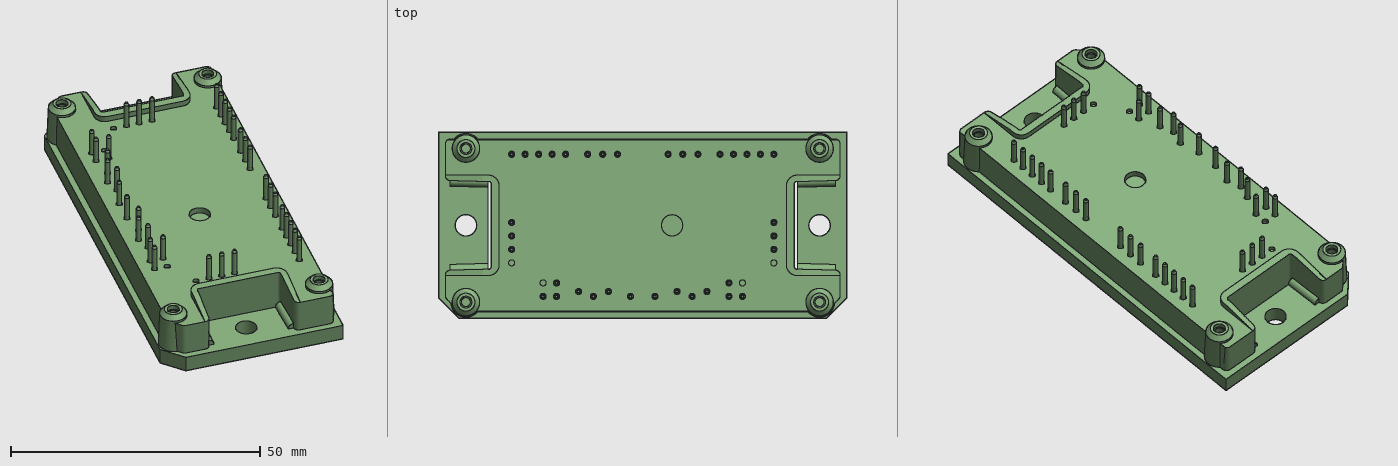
import cadquery as cq
import math


plate_length = 82.0
plate_width = 37.4
plate_height = 3.45
plate_corner_cut = 4.1
mounting_hole_diameter = 4.3
mounting_hole_x = 35.5

housing_length = 79.3
housing_bottom_width = 34.8
housing_top_width = 34.35
housing_top_z = 10.4
housing_corner_cut = 2.9
housing_corner_radius = 1.15
center_hole_diameter = 4.3
center_hole_depth = 1.3
center_hole_x = 5.9

recess_wall_x = 30.46
recess_back_width = 17.55
recess_mouth_width = 18.0
recess_corner_radius = 0.4
recess_mouth_radius = 1.0
recess_foot_radius = 1.15
slot_width = 0.6
rim_outer_width = 20.2
rim_back_width = 1.6
rim_corner_radius = 2.2
rim_top_z = 11.65
rim_slope_start_x = 32.1
rim_slope_blend_radius = 2.5

boss_x = mounting_hole_x
boss_y = 15.4
boss_bottom_radius = 3.0
boss_shoulder_radius = 2.75
boss_top_radius = 1.8
boss_shoulder_z = 10.9
boss_top_z = 11.9
boss_bore_diameter = 2.4
boss_bore_depth = 1.0
screw_hole_diameter = 1.8
screw_hole_depth = 4.9

pin_diameter = 1.0
pin_tip_diameter = 0.5
pin_tip_length = 0.5
pin_top_z = 16.2
socket_diameter = 1.2
socket_depth = 0.8
pin_pitch = 2.7

outer_x = 26.3
back_row_y = 14.3
front_row_y = -back_row_y
back_row_x = [outer_x - i * pin_pitch for i in range(5)] + [11.1, 8.0, 5.1]
side_column_top_y = 0.6
side_column_y = [side_column_top_y - i * pin_pitch for i in range(4)]
corner_group_x = 20.0
inner_row_y = front_row_y + pin_pitch
staggered_row_y = -13.3
front_row_x = [corner_group_x, corner_group_x - pin_pitch, 9.9, 2.5]
staggered_row_x = [12.9, 6.9]

pin_points = [(x, back_row_y) for x in back_row_x]
pin_points += [(outer_x, y) for y in side_column_y[:-1]]
pin_points += [(x, front_row_y) for x in front_row_x]
pin_points += [(x, staggered_row_y) for x in staggered_row_x]
pin_points += [(corner_group_x - pin_pitch, inner_row_y)]
empty_points = [(outer_x, side_column_y[-1]), (corner_group_x, inner_row_y)]


def both_sides(points):
    """Return the points together with their mirror images across the YZ plane."""
    return points + [(-x, y) for x, y in points]


def box_between(x_range, y_half, z_range):
    """Box spanning the given X and Z ranges, centred on Y."""
    return cq.Workplane("XY").box(
        x_range[1] - x_range[0], 2 * y_half, z_range[1] - z_range[0], centered=(False, True, False)
    ).translate((x_range[0], 0, z_range[0]))


def drill(body, points, diameter, depth, top_z):
    """Cut blind holes down from the given height."""
    holes = cq.Workplane("XY").workplane(offset=top_z).pushPoints(points).circle(diameter / 2).extrude(-depth)
    return body.cut(holes)


def clipped_outline(length, width, corner_cut):
    """Rectangle with the two -Y corners cut off at 45 degrees."""
    x = length / 2
    y = width / 2
    return cq.Workplane("XY").polyline([
        (-x, y), (-x, corner_cut - y), (corner_cut - x, -y),
        (x - corner_cut, -y), (x, corner_cut - y), (x, y),
    ]).close()


def make_plate():
    plate = clipped_outline(plate_length, plate_width, plate_corner_cut).extrude(plate_height)
    mounting_points = both_sides([(mounting_hole_x, 0)])
    return drill(plate, mounting_points, mounting_hole_diameter, plate_height, plate_height)


def make_housing():
    outline = clipped_outline(housing_length, housing_bottom_width, housing_corner_cut).extrude(housing_top_z)
    outline = outline.edges("|Z").fillet(housing_corner_radius)
    drafted = (
        cq.Workplane("YZ")
        .polyline([
            (-housing_bottom_width / 2, plate_height), (housing_bottom_width / 2, plate_height),
            (housing_top_width / 2, housing_top_z), (-housing_top_width / 2, housing_top_z),
        ])
        .close()
        .extrude(housing_length / 2, both=True)
    )
    return drafted.intersect(outline)


def make_rim():
    """Rim around the +X recess: level at the back, arms sloping down to the housing end."""
    end_x = housing_length / 2
    back_x = recess_wall_x - rim_back_width
    half_width = rim_outer_width / 2
    side_profile = (
        cq.Workplane("XZ")
        .polyline([
            (back_x, plate_height), (back_x, rim_top_z), (rim_slope_start_x, rim_top_z),
            (end_x, housing_top_z), (end_x, plate_height),
        ])
        .close()
        .extrude(half_width, both=True)
    )
    slope_break = cq.selectors.NearestToPointSelector((rim_slope_start_x, 0, rim_top_z))
    blended = side_profile.edges("|Y").edges(slope_break).fillet(rim_slope_blend_radius)
    return blended.edges("|Z and <X").fillet(rim_corner_radius)


def make_recess():
    """Space removed from the +X end, with a slot through the plate at its back wall."""
    back_y = recess_back_width / 2
    mouth_y = recess_mouth_width / 2
    end_x = housing_length / 2
    slot_end_x = recess_wall_x + slot_width
    outline = (
        cq.Workplane("XY")
        .polyline([(recess_wall_x, -back_y), (recess_wall_x, back_y), (end_x, mouth_y), (end_x, -mouth_y)])
        .close()
        .extrude(rim_top_z)
        .edges("|Z and <X")
        .fillet(recess_corner_radius)
    )
    plate_behind_slot = box_between((slot_end_x, end_x), mouth_y, (0, plate_height))
    recess = outline.cut(plate_behind_slot)

    foot_end_x = end_x - recess_mouth_radius
    flare_angle = math.degrees(math.atan2(mouth_y - back_y, end_x - recess_wall_x))
    foot = (
        cq.Workplane("YZ")
        .workplane(offset=recess_wall_x)
        .moveTo(back_y, plate_height)
        .lineTo(back_y, plate_height + recess_foot_radius)
        .radiusArc((back_y - recess_foot_radius, plate_height), -recess_foot_radius)
        .close()
        .extrude(plate_length / 2 - recess_wall_x)
        .rotate((recess_wall_x, back_y, 0), (recess_wall_x, back_y, 1), flare_angle)
        .intersect(box_between((slot_end_x, foot_end_x), mouth_y, (plate_height, housing_top_z)))
    )
    recess = recess.cut(foot).cut(foot.mirror("XZ"))

    radius = recess_mouth_radius
    wall_y = mouth_y - radius * math.tan(math.radians(flare_angle))
    mouth = (
        cq.Workplane("XY")
        .workplane(offset=plate_height)
        .moveTo(foot_end_x, wall_y)
        .radiusArc((end_x, wall_y + radius), -radius)
        .lineTo(end_x, wall_y)
        .close()
        .extrude(rim_top_z - plate_height)
    )
    return recess.union(mouth).union(mouth.mirror("XZ"))


def make_boss():
    """Tapered screw boss with a conical top, standing on the Z axis."""
    return (
        cq.Workplane("XZ")
        .polyline([
            (0, plate_height), (boss_bottom_radius, plate_height), (boss_shoulder_radius, boss_shoulder_z),
            (boss_top_radius, boss_top_z), (0, boss_top_z),
        ])
        .close()
        .revolve(360, (0, 0), (0, 1))
    )


def make_pin():
    """Pin with a tapered tip, standing on the Z axis from the socket floor."""
    floor_z = housing_top_z - socket_depth
    shoulder_z = pin_top_z - pin_tip_length
    return (
        cq.Workplane("XZ")
        .polyline([
            (0, floor_z), (pin_diameter / 2, floor_z), (pin_diameter / 2, shoulder_z),
            (pin_tip_diameter / 2, pin_top_z), (0, pin_top_z),
        ])
        .close()
        .revolve(360, (0, 0), (0, 1))
    )


rim = make_rim()
recess = make_recess()
result = make_plate().union(make_housing()).union(rim).union(rim.mirror("YZ"))
result = result.cut(recess).cut(recess.mirror("YZ"))
result = drill(result, [(center_hole_x, 0)], center_hole_diameter, center_hole_depth, housing_top_z)

boss_points = both_sides([(boss_x, boss_y), (boss_x, -boss_y)])
boss = make_boss()
for x, y in boss_points:
    result = result.union(boss.translate((x, y, 0)))
result = drill(result, boss_points, boss_bore_diameter, boss_bore_depth, boss_top_z)
result = drill(result, boss_points, screw_hole_diameter, screw_hole_depth, boss_top_z)

result = drill(result, both_sides(pin_points + empty_points), socket_diameter, socket_depth, housing_top_z)
pin = make_pin()
for x, y in both_sides(pin_points):
    result = result.union(pin.translate((x, y, 0)))